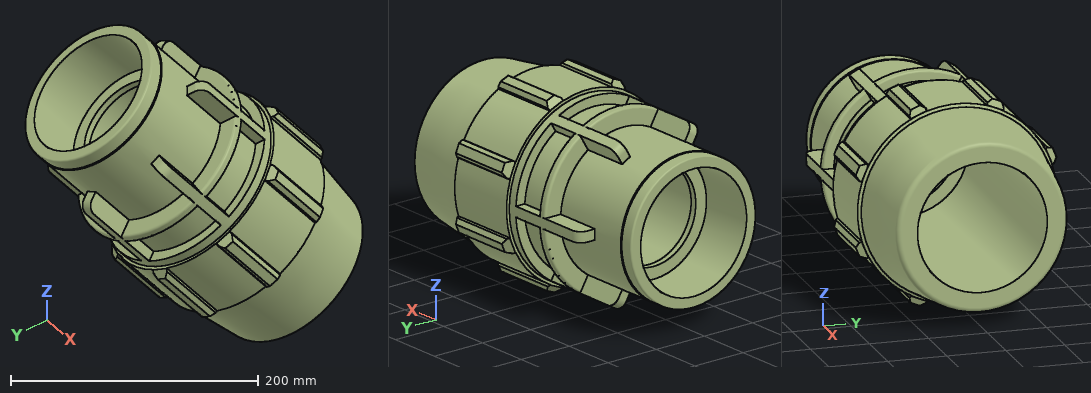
import cadquery as cq

length = 273.0

body_radius = 130.2 / 2
mouth_round = 1.6
seam_position = 12.5
seam_width = 0.8
seam_depth = 0.5

neck_radius = 72.3
rim_radius = 163.0 / 2
ring_start = 91.0
ring_end = 98.8
ring_round = 2.2
flange_start = 128.3

nut_radius = 84.4
nut_start = 136.8
nut_edge = 203.7
nut_end = 204.8
cap_end_radius = 72.0
cap_round = 4.6

socket_radius = 110.0 / 2
stop_radius = 88.0 / 2
stop_start = 52.0
stop_end = 58.0

rib_count = 6
rib_width = 9.5
rib_start = 46.7
rib_round = 8.7

lug_count = 8
lug_radius = 90.4
lug_shoulder_radius = 86.3
lug_root_radius = 82.0
lug_base_width = 15.0
lug_top_width = 8.5
lug_front_slope = 5.2
lug_top_end = 201.2


def cylinder(start, end, radius):
    """Solid cylinder along X between two stations."""
    return cq.Workplane("YZ").workplane(offset=start).circle(radius).extrude(end - start)


def make_spigot():
    spigot = cylinder(0, ring_end, body_radius).faces("<X").edges().fillet(mouth_round)
    groove = cylinder(seam_position, seam_position + seam_width, body_radius)
    groove = groove.cut(cylinder(0, ring_end, body_radius - seam_depth))
    return spigot.cut(groove)


def make_ring():
    return cylinder(ring_start, ring_end, rim_radius).edges().fillet(ring_round)


def cone(start, end, start_radius, end_radius):
    """Solid cone frustum along X between two stations."""
    frustum = cq.Workplane("YZ").workplane(offset=start).circle(start_radius)
    return frustum.workplane(offset=end - start).circle(end_radius).loft(ruled=True)


def make_nut():
    """Nut barrel with a bevelled back edge that leads down to the cap."""
    barrel = cylinder(nut_start, nut_edge, nut_radius)
    return barrel.union(cone(nut_edge, nut_end, nut_radius, rim_radius))


def make_cap():
    cap = cone(nut_end, length, rim_radius, cap_end_radius)
    return cap.faces(">X").edges().fillet(cap_round)


def make_rib():
    """Rib on the +Z side, flush with the rims and rounded at its outer front corner."""
    rib_length = flange_start - rib_start
    rib = cq.Workplane("XY").workplane(offset=socket_radius)
    rib = rib.center(rib_start + rib_length / 2, 0).rect(rib_length, rib_width).extrude(rim_radius)
    rib = rib.intersect(cylinder(rib_start, flange_start, rim_radius))
    return rib.edges("<X and >Z").fillet(rib_round)


def make_lug():
    """Lug on the +Z side: bevelled cross-section with sloped ends."""
    half_base = lug_base_width / 2
    half_top = lug_top_width / 2
    lug = (
        cq.Workplane("YZ").workplane(offset=nut_start)
        .polyline([
            (-half_base, lug_root_radius),
            (-half_base, lug_shoulder_radius),
            (-half_top, lug_radius),
            (half_top, lug_radius),
            (half_base, lug_shoulder_radius),
            (half_base, lug_root_radius),
        ])
        .close().extrude(nut_edge - nut_start)
    )
    side_outline = (
        cq.Workplane("XZ")
        .polyline([
            (nut_start, lug_root_radius),
            (nut_start, nut_radius),
            (nut_start + lug_front_slope, lug_radius),
            (lug_top_end, lug_radius),
            (nut_edge, nut_radius),
            (nut_edge, lug_root_radius),
        ])
        .close().extrude(lug_base_width / 2, both=True)
    )
    return lug.intersect(side_outline)


def add_around(part, feature, count, first_angle):
    """Join equally spaced copies of a feature around the X axis."""
    for index in range(count):
        angle = first_angle + index * 360 / count
        part = part.union(feature.rotate((0, 0, 0), (1, 0, 0), angle))
    return part


result = make_spigot()
result = result.union(cylinder(ring_start, nut_start, neck_radius))
result = add_around(result, make_rib(), rib_count, 90)
result = result.union(make_ring())
result = result.union(cylinder(flange_start, nut_start, rim_radius))
result = result.union(make_nut())
result = result.union(make_cap())
result = add_around(result, make_lug(), lug_count, 180 / lug_count)

result = result.cut(cylinder(0, stop_start, socket_radius))
result = result.cut(cylinder(0, length, stop_radius))
result = result.cut(cylinder(stop_end, length, socket_radius))